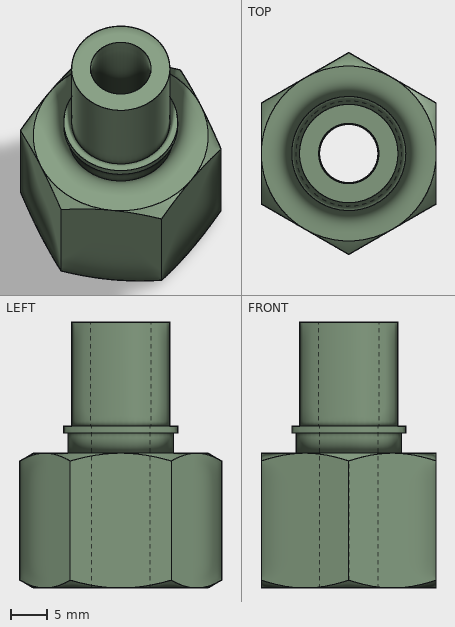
import cadquery as cq
import math

total_height = 36.5
across_flats = 24.0
nut_height = 18.5
neck_diameter = 14.5
collar_diameter = 15.65
collar_bottom = 21.25
collar_top = 22.23
tube_diameter = 13.5
bore_diameter = 8.0
upper_bore_diameter = 8.3
chamfer_angle = math.radians(30)

across_corners = across_flats / math.cos(math.radians(30))
flat_radius = across_flats / 2
corner_radius = across_corners / 2
chamfer_drop = (corner_radius - flat_radius) * math.tan(chamfer_angle)


def cylinder(diameter, bottom, top):
    """Cylinder on the Z axis between two heights."""
    return cq.Workplane("XY").workplane(offset=bottom).circle(diameter / 2).extrude(top - bottom)


def hex_nut():
    """Hexagon with flats facing X and 30 degree conical chamfers at both ends."""
    prism = cq.Workplane("XY").polygon(6, across_corners).extrude(nut_height)
    prism = prism.rotate((0, 0, 0), (0, 0, 1), 30)
    margin = 0.35
    outer_radius = corner_radius + margin
    outer_drop = chamfer_drop + margin * math.tan(chamfer_angle)
    envelope = (
        cq.Workplane("XZ")
        .moveTo(0, 0)
        .lineTo(flat_radius, 0)
        .lineTo(outer_radius, outer_drop)
        .lineTo(outer_radius, nut_height - outer_drop)
        .lineTo(flat_radius, nut_height)
        .lineTo(0, nut_height)
        .close()
        .revolve(360, (0, 0, 0), (0, 1, 0))
    )
    return prism.intersect(envelope)


neck = cylinder(neck_diameter, nut_height, collar_bottom)
collar = cylinder(collar_diameter, collar_bottom, collar_top)
tube = cylinder(tube_diameter, collar_top, total_height)
body = hex_nut().union(neck).union(collar).union(tube)

bore = cylinder(bore_diameter, 0, total_height)
upper_bore = cylinder(upper_bore_diameter, collar_top, total_height)
result = body.cut(bore).cut(upper_bore)